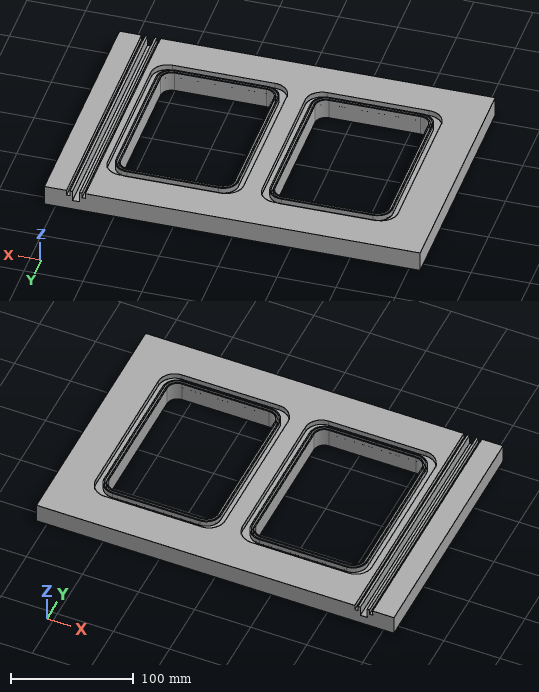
import cadquery as cq

length = 319.0
width = 218.0
thickness = 18.0

opening_length = 96.0
opening_width = 134.4
opening_corner_radius = 9.1
first_window_x = 90.0
window_count = 2
window_pitch = 131.0
window_center_y = width / 2

rib_thickness = 1.1
rib_gap = 1.8
channel_width = 5.7
recess_corner_radius = 14.4
channel_depth = 5.0

slot_center_x = 292.0
center_slot_width = 5.9
center_slot_depth = 9.25
side_slot_width = 2.8
side_slot_depth = 4.75
slot_rib_width = 2.2

channel_floor = thickness - channel_depth
outer_rib_offset = rib_thickness + rib_gap
recess_offset = outer_rib_offset + rib_thickness + channel_width


def window_prism(center_x, offset, corner_radius, bottom):
    """Rounded prism up to the top face: the opening outline grown outwards by offset."""
    return (
        cq.Workplane("XY", origin=(center_x, window_center_y, bottom))
        .rect(opening_length + 2 * offset, opening_width + 2 * offset)
        .extrude(thickness - bottom)
        .edges("|Z")
        .fillet(corner_radius)
    )


def rib(center_x, inner_offset):
    """Thin upright rib following the opening at the given distance."""
    outer_offset = inner_offset + rib_thickness
    outside = window_prism(center_x, outer_offset, opening_corner_radius + outer_offset, channel_floor)
    inside = window_prism(center_x, inner_offset, opening_corner_radius + inner_offset, channel_floor)
    return outside.cut(inside)


def cut_window(body, center_x):
    """Cut the recess and the through opening, then stand the two ribs on the recess floor."""
    recess = window_prism(center_x, recess_offset, recess_corner_radius, channel_floor)
    opening = window_prism(center_x, 0, opening_corner_radius, 0)
    body = body.cut(recess).cut(opening)
    for inner_offset in (0, outer_rib_offset):
        body = body.union(rib(center_x, inner_offset))
    return body


def cut_slot(body, center_x, slot_width, depth):
    """Cut a rectangular slot along Y into the top face."""
    slot = (
        cq.Workplane("XY", origin=(center_x, width / 2, thickness - depth))
        .rect(slot_width, width)
        .extrude(depth)
    )
    return body.cut(slot)


result = cq.Workplane("XY").box(length, width, thickness, centered=False)

for index in range(window_count):
    result = cut_window(result, first_window_x + index * window_pitch)

side_slot_offset = center_slot_width / 2 + slot_rib_width + side_slot_width / 2
result = cut_slot(result, slot_center_x, center_slot_width, center_slot_depth)
for side in (-1, 1):
    result = cut_slot(result, slot_center_x + side * side_slot_offset, side_slot_width, side_slot_depth)